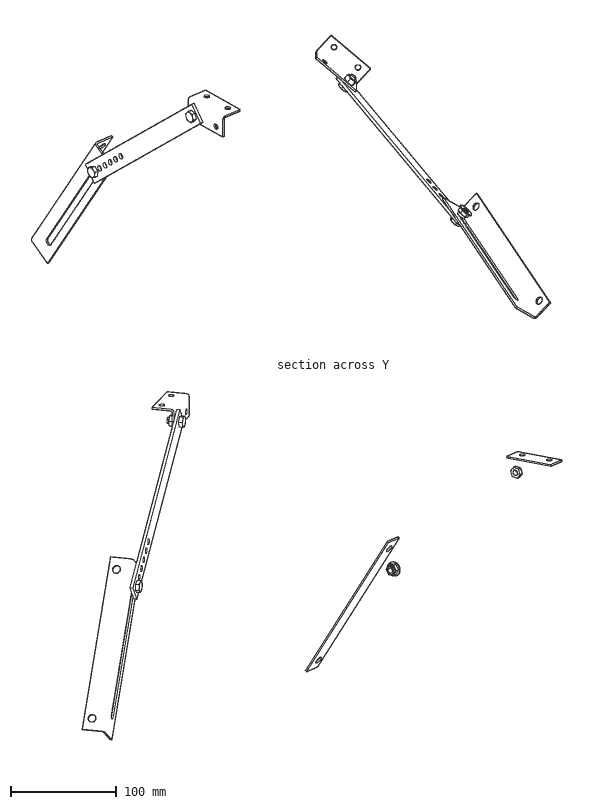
import cadquery as cq
import math


sheet = 2.0
bend_radius = 3.3
leg_depth = 22.0

upper_length = 50.0
upper_height = 22.0
upper_hole_pitch = 30.2
upper_web_hole_drop = 14.7
upper_leg_hole_y = 15.0
small_hole = 5.3

arm_angle = 40.2
arm_thickness = 3.0
arm_width = 20.0
pivot_distance = 185.0
lower_overhang = 8.3
upper_overhang = 7.0
adjusting_pitch = 10.0
adjusting_holes = 5

lower_angle = 57.0
lower_length = 169.8
lower_width = 30.0
slot_width = 7.0
slot_end_margin = 21.0
slot_drop = 18.3
bolt_margin = 21.5
leg_hole = 7.5
leg_hole_margin = 11.7
leg_hole_y = 14.1

shank = 5.8
across_flats = 10.0
head_height = 4.0
bolt_reach = 9.2
nut_height = 5.0
flange_nut_height = 7.8
flange_diameter = 14.0
flange_thickness = 1.0
collar_diameter = 8.3
collar_height = 2.8
upper_hex_turn = 50.0
lower_hex_turn = 22.0
flange_nut_turn = 3.0

across_corners = across_flats / math.cos(math.radians(30))
lower_pivot_x = -pivot_distance * math.cos(math.radians(arm_angle))
lower_pivot_z = -pivot_distance * math.sin(math.radians(arm_angle))


def disc(diameter, y, height):
    """Round disc on the Y axis, from y towards +Y."""
    return cq.Workplane("XZ", origin=(0, y, 0)).circle(diameter / 2).extrude(-height)


def at_lower_pivot(body):
    """Moves a body built on the upper pivot's axis to the lower pivot."""
    return body.translate((lower_pivot_x, 0, lower_pivot_z))


def angle_bracket(length, web_height):
    """L-section along +X: top face at Z = 0, web against Y = 0, leg reaching to +Y."""
    profile = (
        cq.Workplane("YZ")
        .moveTo(leg_depth, 0)
        .lineTo(bend_radius, 0)
        .radiusArc((0, -bend_radius), -bend_radius)
        .lineTo(0, -web_height)
        .lineTo(sheet, -web_height)
        .lineTo(sheet, -bend_radius)
        .radiusArc((bend_radius, -sheet), bend_radius - sheet)
        .lineTo(leg_depth, -sheet)
        .close()
    )
    return profile.extrude(length)


def leg_drill(points, diameter):
    """Vertical cutters through the leg of a bracket."""
    return cq.Workplane("XY").pushPoints(points).circle(diameter / 2).extrude(-sheet)


def make_upper_bracket():
    first_x = (upper_length - upper_hole_pitch) / 2
    second_x = first_x + upper_hole_pitch
    bracket = angle_bracket(upper_length, upper_height)
    bolt_hole = disc(shank, 0, sheet).translate((first_x, 0, -upper_web_hole_drop))
    web_hole = disc(small_hole, 0, sheet).translate((second_x, 0, -upper_web_hole_drop))
    leg_points = [(first_x, upper_leg_hole_y), (second_x, upper_leg_hole_y)]
    bracket = bracket.cut(bolt_hole).cut(web_hole).cut(leg_drill(leg_points, small_hole))
    return bracket.translate((-first_x, 0, upper_web_hole_drop))


def make_lower_bracket():
    """Slotted bracket, placed by the bolt near the upper end of its slot."""
    bolt_x = lower_length - bolt_margin
    slot_spacing = lower_length - 2 * slot_end_margin
    slot = (
        cq.Workplane("XZ")
        .center(lower_length / 2, -slot_drop)
        .slot2D(slot_spacing + slot_width, slot_width)
        .extrude(-sheet)
    )
    leg_points = [(leg_hole_margin, leg_hole_y), (lower_length - leg_hole_margin, leg_hole_y)]
    bracket = angle_bracket(lower_length, lower_width).cut(slot).cut(leg_drill(leg_points, leg_hole))
    bracket = bracket.translate((-bolt_x, 0, slot_drop))
    return at_lower_pivot(bracket.rotate((0, 0, 0), (0, 1, 0), -lower_angle))


def make_arm():
    """Flat bar from the lower pivot to the upper one, with a row of adjusting holes."""
    length = lower_overhang + pivot_distance + upper_overhang
    bar = (
        cq.Workplane("XZ")
        .center(-pivot_distance - lower_overhang + length / 2, 0)
        .rect(length, arm_width)
        .extrude(arm_thickness)
    )
    bolt_points = [(0, 0), (-pivot_distance, 0)]
    bolt_holes = cq.Workplane("XZ").pushPoints(bolt_points).circle(shank / 2).extrude(arm_thickness)
    row = [(-pivot_distance + i * adjusting_pitch, 0) for i in range(1, adjusting_holes + 1)]
    row_holes = cq.Workplane("XZ").pushPoints(row).circle(small_hole / 2).extrude(arm_thickness)
    return bar.cut(bolt_holes).cut(row_holes).rotate((0, 0, 0), (0, 1, 0), -arm_angle)


def hexagon(y, height, turn):
    """Hexagonal prism from y towards +Y with its corners turned by an angle about Y."""
    prism = cq.Workplane("XZ", origin=(0, y, 0)).polygon(6, across_corners).extrude(-height)
    return prism.rotate((0, 0, 0), (0, 1, 0), -turn)


def rounded_corners(hexagon_body, end_y, inward):
    """Bevels the corners of a hexagon at its end face by a 30 degree cone; inward is +1 or -1."""
    end_radius = across_flats / 2
    depth = across_flats
    base_radius = end_radius + depth / math.tan(math.radians(30))
    cone = cq.Solid.makeCone(
        end_radius, base_radius, depth, pnt=cq.Vector(0, end_y, 0), dir=cq.Vector(0, inward, 0)
    )
    return hexagon_body.intersect(cq.Workplane(obj=cone))


def make_bolt(turn):
    """Hexagon bolt with its head on the outer face of the arm."""
    head_y = -arm_thickness - head_height
    head = rounded_corners(hexagon(head_y, head_height, turn), head_y, 1)
    shaft = disc(shank, -arm_thickness, arm_thickness + bolt_reach)
    return head.union(shaft)


def bore(solid, length):
    """Cuts the bolt's hole through a nut that stands on the web of a bracket."""
    cutter = disc(shank, sheet, length)
    return solid.cut(cutter)


def make_nut():
    """Plain hexagon nut with its outer corners bevelled."""
    nut = rounded_corners(hexagon(sheet, nut_height, upper_hex_turn), sheet + nut_height, -1)
    return bore(nut, nut_height)


def make_flange_nut():
    """Nut on a round collar, with its flange on the outer end, away from the bracket."""
    hex_y = sheet + collar_height
    flange_y = sheet + flange_nut_height - flange_thickness
    collar = disc(collar_diameter, sheet, collar_height)
    nut = hexagon(hex_y, flange_y - hex_y, flange_nut_turn)
    flange = disc(flange_diameter, flange_y, flange_thickness)
    return bore(collar.union(nut).union(flange), flange_nut_height)


upper_bracket = make_upper_bracket()
lower_bracket = make_lower_bracket()
arm = make_arm()
upper_nut = make_nut()
flange_nut = at_lower_pivot(make_flange_nut())
upper_bolt = make_bolt(upper_hex_turn)
lower_bolt = at_lower_pivot(make_bolt(lower_hex_turn))

bodies = [upper_bracket, lower_bracket, arm, upper_bolt, lower_bolt, upper_nut, flange_nut]
result = cq.Compound.makeCompound([body.solids().val() for body in bodies])